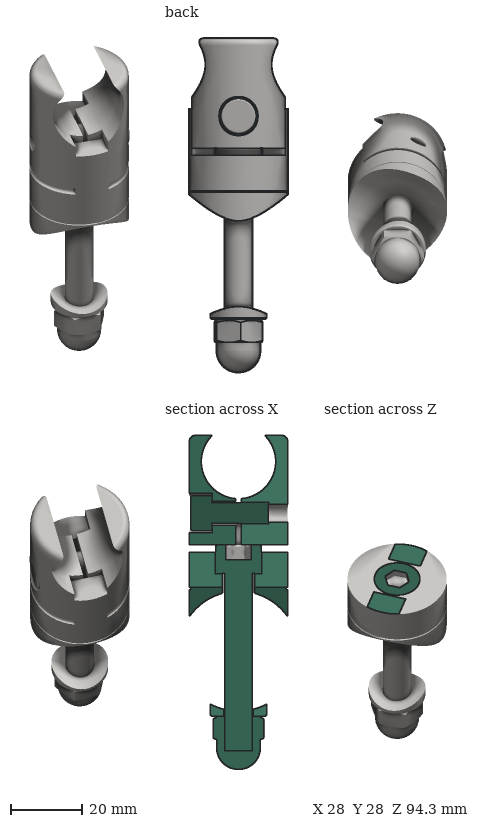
import cadquery as cq
import math


hexagon_half_angle = 30

body_dia = 28
clamp_bore_dia = 20.8
jaw_top_z = 7.5
jaw_length = 31
jaw_bottom_z = jaw_top_z - jaw_length
jaw_top_fillet = 2
jaw_gap = 1.5

prong_width = 9.5
prong_spacing = 13.5
prong_height = 13
fork_gap = 2
fork_base_height = 10
fork_base_top_z = jaw_bottom_z - fork_gap
fork_bottom_z = fork_base_top_z - fork_base_height
prong_top_z = fork_base_top_z + prong_height

screw_head_fillet = 0.6

clamp_screw_dia = 6
clamp_screw_length = 16
clamp_screw_head_dia = 10
clamp_screw_z = -14.5
clamp_screw_seat_y = 7.5
clamp_screw_tip_y = clamp_screw_seat_y - clamp_screw_length
clamp_screw_clearance_dia = 6.6
clamp_counterbore_dia = 11
clamp_tapping_dia = 4.92

main_screw_dia = 8
main_screw_length = 50
main_screw_head_dia = 13
main_screw_clearance_dia = 9
main_screw_seat_z = jaw_bottom_z - main_screw_dia
main_screw_tip_z = main_screw_seat_z - main_screw_length
socket_width = 6
socket_depth = 4
socket_mouth_dia = 7

cross_tube_dia = 33.7
saddle_step_dia = 27
saddle_step_height = 0.5
saddle_crown_thickness = 1
cross_tube_z = fork_bottom_z - saddle_crown_thickness - cross_tube_dia / 2

washer_dia = 16
washer_hole_dia = 8.2
washer_crown_thickness = 1.55
washer_chamfer = 0.5
washer_bottom_z = cross_tube_z - cross_tube_dia / 2 - washer_crown_thickness

nut_width = 13
nut_hex_height = 6.5
nut_turn = 5
nut_chamfer_angle = 30
nut_seat_dia = 12
dome_dia = 12.5
dome_neck_height = 2.25
nut_hex_bottom_z = washer_bottom_z - nut_hex_height
dome_center_z = nut_hex_bottom_z - dome_neck_height


def cylinder_z(diameter, bottom_z, top_z):
    return cq.Workplane("XY").workplane(offset=bottom_z).circle(diameter / 2).extrude(top_z - bottom_z)


def cylinder_y(diameter, start_y, end_y, z):
    start = cq.Workplane("XZ", origin=(0, start_y, z))
    return start.circle(diameter / 2).extrude(start_y - end_y)


def tube_along_x(diameter, z):
    return cq.Workplane("YZ").center(0, z).circle(diameter / 2).extrude(body_dia, both=True)


def box_between(x_range, y_range, z_range):
    sizes = [high - low for low, high in (x_range, y_range, z_range)]
    corner = (x_range[0], y_range[0], z_range[0])
    return cq.Workplane("XY").box(*sizes, centered=False).translate(corner)


def hexagon_prism(width, bottom_z, top_z):
    corner_dia = width / math.cos(math.radians(hexagon_half_angle))
    return cq.Workplane("XY").workplane(offset=bottom_z).polygon(6, corner_dia).extrude(top_z - bottom_z)


def prong_zone(side, bottom_z, top_z):
    """Block outside one inner prong face, as wide as the prong (side is -1 or +1)."""
    x_range = sorted((side * prong_spacing / 2, side * body_dia / 2))
    return box_between(x_range, (-prong_width / 2, prong_width / 2), (bottom_z, top_z))


def make_cap_screw(thread_dia, head_dia, length):
    """Cap screw along Z with its seat at Z = 0 and a head as high as the thread diameter."""
    head = cylinder_z(head_dia, 0, thread_dia)
    head = head.faces(">Z").edges().fillet(screw_head_fillet)
    return head.union(cylinder_z(thread_dia, -length, 0))


def make_jaw(side):
    """One half of the clamp, on the -Y or +Y side of the gap, without its screw holes."""
    blank = cylinder_z(body_dia, jaw_bottom_z, jaw_top_z)
    blank = blank.faces(">Z").edges().fillet(jaw_top_fillet)
    blank = blank.cut(tube_along_x(clamp_bore_dia, 0))
    for prong_side in (-1, 1):
        blank = blank.cut(prong_zone(prong_side, jaw_bottom_z, jaw_top_z))
    y_range = sorted((side * jaw_gap / 2, side * body_dia / 2))
    half_space = box_between((-body_dia / 2, body_dia / 2), y_range, (jaw_bottom_z, jaw_top_z))
    return blank.intersect(half_space)


def make_threaded_jaw():
    thread_hole = cylinder_y(clamp_screw_dia, 0, clamp_screw_tip_y, clamp_screw_z)
    tapping_hole = cylinder_y(clamp_tapping_dia, 0, -body_dia / 2, clamp_screw_z)
    return make_jaw(-1).cut(thread_hole).cut(tapping_hole)


def make_counterbored_jaw():
    clearance_hole = cylinder_y(clamp_screw_clearance_dia, body_dia / 2, 0, clamp_screw_z)
    counterbore = cylinder_y(clamp_counterbore_dia, body_dia / 2, clamp_screw_seat_y, clamp_screw_z)
    return make_jaw(1).cut(clearance_hole).cut(counterbore)


def make_clamp_screw():
    screw = make_cap_screw(clamp_screw_dia, clamp_screw_head_dia, clamp_screw_length)
    screw = screw.rotate((0, 0, 0), (1, 0, 0), -90)
    return screw.translate((0, clamp_screw_seat_y, clamp_screw_z))


def make_fork():
    fork = cylinder_z(body_dia, fork_bottom_z, fork_base_top_z)
    column = cylinder_z(body_dia, fork_bottom_z, prong_top_z)
    for side in (-1, 1):
        fork = fork.union(column.intersect(prong_zone(side, fork_bottom_z, prong_top_z)))
    head_recess = cylinder_z(main_screw_head_dia, main_screw_seat_z, fork_base_top_z)
    screw_hole = cylinder_z(main_screw_clearance_dia, fork_bottom_z, fork_base_top_z)
    return fork.cut(head_recess).cut(screw_hole)


def make_main_screw():
    screw = make_cap_screw(main_screw_dia, main_screw_head_dia, main_screw_length)
    head_top = main_screw_dia
    socket = hexagon_prism(socket_width, head_top - socket_depth, head_top)
    socket = socket.rotate((0, 0, 0), (0, 0, 1), hexagon_half_angle)
    mouth_radius = socket_mouth_dia / 2
    mouth = cq.Solid.makeCone(0, mouth_radius, mouth_radius, pnt=cq.Vector(0, 0, head_top - mouth_radius))
    screw = screw.cut(socket).cut(cq.Workplane(mouth))
    return screw.translate((0, 0, main_screw_seat_z))


def make_saddle():
    step_bottom_z = fork_bottom_z - saddle_step_height
    saddle = cylinder_z(body_dia, cross_tube_z, step_bottom_z)
    saddle = saddle.union(cylinder_z(saddle_step_dia, step_bottom_z, fork_bottom_z))
    saddle = saddle.cut(tube_along_x(cross_tube_dia, cross_tube_z))
    return saddle.cut(cylinder_z(main_screw_clearance_dia, cross_tube_z, fork_bottom_z))


def make_saddle_washer():
    washer = cylinder_z(washer_dia, washer_bottom_z, cross_tube_z)
    washer = washer.faces("<Z").edges().chamfer(washer_chamfer)
    washer = washer.cut(tube_along_x(cross_tube_dia, cross_tube_z))
    return washer.cut(cylinder_z(washer_hole_dia, washer_bottom_z, cross_tube_z))


def make_dome_nut():
    hexagon = hexagon_prism(nut_width, nut_hex_bottom_z, washer_bottom_z)
    hexagon = hexagon.rotate((0, 0, 0), (0, 0, 1), nut_turn - 90)
    corner_radius = nut_width / 2 / math.cos(math.radians(hexagon_half_angle))
    envelope = cylinder_z(2 * corner_radius, nut_hex_bottom_z, washer_bottom_z)
    for end, end_dia in (("<Z", nut_width), (">Z", nut_seat_dia)):
        inset = corner_radius - end_dia / 2
        drop = inset * math.tan(math.radians(nut_chamfer_angle))
        envelope = envelope.faces(end).edges().chamfer(drop, inset)
    neck = cylinder_z(dome_dia, dome_center_z, nut_hex_bottom_z)
    dome = cq.Workplane("XY").sphere(dome_dia / 2).translate((0, 0, dome_center_z))
    nut = hexagon.intersect(envelope).union(neck).union(dome)
    return nut.cut(cylinder_z(main_screw_dia, main_screw_tip_z, washer_bottom_z))


threaded_jaw = make_threaded_jaw()
counterbored_jaw = make_counterbored_jaw()
clamp_screw = make_clamp_screw()
fork = make_fork()
main_screw = make_main_screw()
saddle = make_saddle()
saddle_washer = make_saddle_washer()
dome_nut = make_dome_nut()

bodies = [
    threaded_jaw,
    counterbored_jaw,
    clamp_screw,
    fork,
    main_screw,
    saddle,
    saddle_washer,
    dome_nut,
]
result = cq.Compound.makeCompound([body.solids().val() for body in bodies])